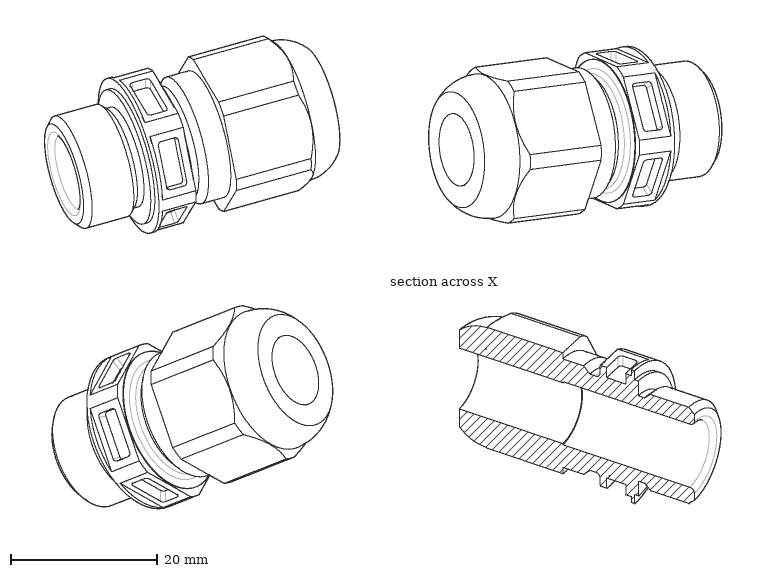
import cadquery as cq
import math


HEX_WIDTH = 20.02
CORNER_RADIUS = 11.005
SEAT_RADIUS = 9.52
THREAD_RADIUS = 8.0
RELIEF_RADIUS = 7.1
BODY_RADIUS = 9.0
COLLAR_RADIUS = 9.85
BORE_RADIUS = 5.18
NUT_BORE_RADIUS = 5.0

THREAD_END = 7.05
SEAT_START = 8.92
FLANGE_START = 9.52
BODY_HEX_START = 10.1
BODY_HEX_END = 15.0
BODY_START = 17.65
NUT_START = 20.95
DOME_START = 33.08
LENGTH = 37.5

THREAD_CHAMFER = THREAD_RADIUS - RELIEF_RADIUS
BODY_CHAMFER = BODY_RADIUS - THREAD_RADIUS
NUT_CHAMFER = 1.05
COLLAR_HEIGHT = 0.1
NECK_FILLET = 0.6
MOUTH_FILLET = 0.75
WINDOW_WIDTH = 6.95
WINDOW_HEIGHT = 2.95
WINDOW_DEPTH = 1.7
WINDOW_CORNER = 0.5
WINDOW_CENTRE = 12.5
HEX_SIDES = 6


def revolve_about_y(profile):
    """Turn a closed (radius, Y) profile into a solid of revolution."""
    return profile.close().revolve(360, (0, 0, 0), (0, 1, 0))


def rounded_hexagon(start, end, end_chamfer=0.0):
    """Hexagonal prism with flats facing +Z and -Z and turned corners."""
    hexagon = (
        cq.Workplane("XZ", origin=(0, start, 0))
        .polygon(HEX_SIDES, HEX_WIDTH / math.cos(math.pi / HEX_SIDES))
        .extrude(start - end)
    )
    envelope = cq.Workplane("XZ", origin=(0, start, 0)).circle(CORNER_RADIUS).extrude(start - end)
    if end_chamfer:
        envelope = envelope.faces(">Y").chamfer(end_chamfer)
    return hexagon.intersect(envelope)


def turned_body():
    """Thread, undercut, sealing step, flange, neck and plain cylinder."""
    collar_top = BODY_HEX_END + COLLAR_HEIGHT
    fillet_reach = NECK_FILLET * (1 - math.sqrt(0.5))
    return revolve_about_y(
        cq.Workplane("XY")
        .moveTo(0, 0)
        .lineTo(THREAD_RADIUS - THREAD_CHAMFER, 0)
        .lineTo(THREAD_RADIUS, THREAD_CHAMFER)
        .lineTo(THREAD_RADIUS, THREAD_END)
        .lineTo(RELIEF_RADIUS, THREAD_END + THREAD_CHAMFER)
        .lineTo(RELIEF_RADIUS, SEAT_START)
        .lineTo(SEAT_RADIUS, SEAT_START)
        .lineTo(SEAT_RADIUS, FLANGE_START)
        .lineTo(CORNER_RADIUS, FLANGE_START)
        .lineTo(CORNER_RADIUS, BODY_HEX_START)
        .lineTo(COLLAR_RADIUS, BODY_HEX_START)
        .lineTo(COLLAR_RADIUS, collar_top)
        .lineTo(THREAD_RADIUS + NECK_FILLET, collar_top)
        .threePointArc(
            (THREAD_RADIUS + fillet_reach, collar_top + fillet_reach),
            (THREAD_RADIUS, collar_top + NECK_FILLET),
        )
        .lineTo(THREAD_RADIUS, BODY_START - BODY_CHAMFER)
        .lineTo(BODY_RADIUS, BODY_START)
        .lineTo(BODY_RADIUS, NUT_START)
        .lineTo(0, NUT_START)
    )


def dome():
    """Rounded end of the cap nut, tangent to the axis direction at its base."""
    base_radius = CORNER_RADIUS - NUT_CHAMFER
    height = LENGTH - DOME_START
    inset = base_radius - THREAD_RADIUS
    arc_radius = (height**2 + inset**2) / (2 * inset)
    half_sweep = math.asin(height / arc_radius) / 2
    arc_middle = (
        base_radius - arc_radius * (1 - math.cos(half_sweep)),
        DOME_START + arc_radius * math.sin(half_sweep),
    )
    return revolve_about_y(
        cq.Workplane("XY")
        .moveTo(0, DOME_START)
        .lineTo(base_radius, DOME_START)
        .threePointArc(arc_middle, (THREAD_RADIUS, LENGTH))
        .lineTo(0, LENGTH)
    )


def window_pockets():
    """One round-cornered blind pocket on each flat of the body hexagon."""
    pocket = (
        cq.Workplane("XY", origin=(0, WINDOW_CENTRE, HEX_WIDTH / 2))
        .rect(WINDOW_WIDTH, WINDOW_HEIGHT)
        .extrude(-WINDOW_DEPTH)
        .edges("|Z")
        .fillet(WINDOW_CORNER)
    )
    pockets = pocket
    for side in range(1, HEX_SIDES):
        pockets = pockets.union(pocket.rotate((0, 0, 0), (0, 1, 0), side * 360 / HEX_SIDES))
    return pockets


def bore():
    """Through bore, rounded at the thread end and narrower inside the cap nut."""
    fillet_reach = MOUTH_FILLET * (1 - math.sqrt(0.5))
    return revolve_about_y(
        cq.Workplane("XY")
        .moveTo(0, 0)
        .lineTo(BORE_RADIUS + MOUTH_FILLET, 0)
        .threePointArc(
            (BORE_RADIUS + fillet_reach, fillet_reach),
            (BORE_RADIUS, MOUTH_FILLET),
        )
        .lineTo(BORE_RADIUS, NUT_START)
        .lineTo(NUT_BORE_RADIUS, NUT_START)
        .lineTo(NUT_BORE_RADIUS, LENGTH)
        .lineTo(0, LENGTH)
    )


result = (
    turned_body()
    .union(rounded_hexagon(BODY_HEX_START, BODY_HEX_END))
    .union(rounded_hexagon(NUT_START, DOME_START, NUT_CHAMFER))
    .union(dome())
    .cut(window_pockets())
    .cut(bore())
)